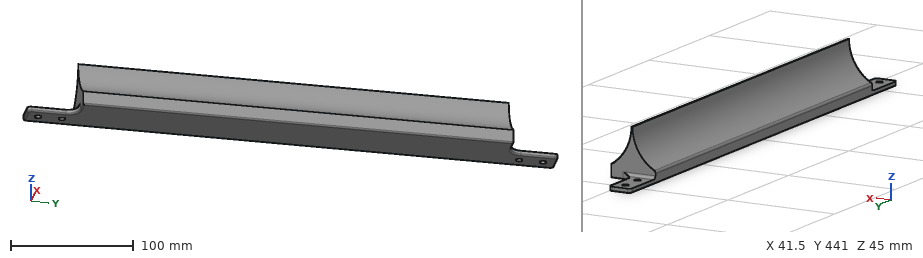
import cadquery as cq
import math

total_length = 441.0
total_width = 41.5
total_height = 45.0

tab_length = 41.5
body_length = total_length - 2 * tab_length
crest_x = 22.0
crest_width = 1.1
flank_radius = 39.0
left_edge_radius = 2.5

tab_width = 20.5
tab_thickness = 4.0
tab_corner_radius = 3.0
neck_radius = 10.0
step_radius = 2.5

hole_diameter = 5.5
hole_inset = 10.5
hole_spacing = 20.0

base_round = 1.5

body_end = body_length / 2
tab_end = total_length / 2


def flank_height(distance):
    """Height of a flank at a horizontal distance from its foot at the crest."""
    return total_height - math.sqrt(flank_radius**2 - (flank_radius - distance) ** 2)


def make_body():
    left_crest = crest_x - crest_width / 2
    right_crest = crest_x + crest_width / 2
    body = (
        cq.Workplane("XZ", origin=(0, body_end, 0))
        .lineTo(total_width, 0)
        .lineTo(total_width, flank_height(total_width - right_crest))
        .radiusArc((right_crest, total_height), flank_radius)
        .lineTo(left_crest, total_height)
        .radiusArc((0, flank_height(left_crest)), flank_radius)
        .close()
        .extrude(body_length)
    )
    return body.faces("<X").edges(">Z").fillet(left_edge_radius)


def make_tab():
    """Tab at the +Y end, with a curved neck and a rounded step up to the body."""
    step_top = tab_thickness + step_radius
    plan = (
        cq.Workplane("XY")
        .moveTo(0, body_end)
        .lineTo(0, tab_end)
        .lineTo(tab_width, tab_end)
        .lineTo(tab_width, body_end + neck_radius)
        .radiusArc((tab_width + neck_radius, body_end), -neck_radius)
        .close()
        .extrude(step_top)
    )
    plan = plan.edges("|Z and >Y").fillet(tab_corner_radius)
    side_profile = (
        cq.Workplane("YZ")
        .moveTo(body_end, 0)
        .lineTo(tab_end, 0)
        .lineTo(tab_end, tab_thickness)
        .lineTo(body_end + step_radius, tab_thickness)
        .radiusArc((body_end, step_top), step_radius)
        .close()
        .extrude(total_width)
    )
    return plan.intersect(side_profile)


def make_holes():
    """Two through holes in each tab."""
    outer_y = tab_end - hole_inset
    inner_y = outer_y - hole_spacing
    centers = [(hole_inset, y) for y in (-outer_y, -inner_y, inner_y, outer_y)]
    return (
        cq.Workplane("XY")
        .pushPoints(centers)
        .circle(hole_diameter / 2)
        .extrude(tab_thickness)
    )


tab = make_tab()
solid = make_body().union(tab).union(tab.mirror("XZ")).clean()
solid = solid.faces("<Z").edges().fillet(base_round)
result = solid.cut(make_holes())